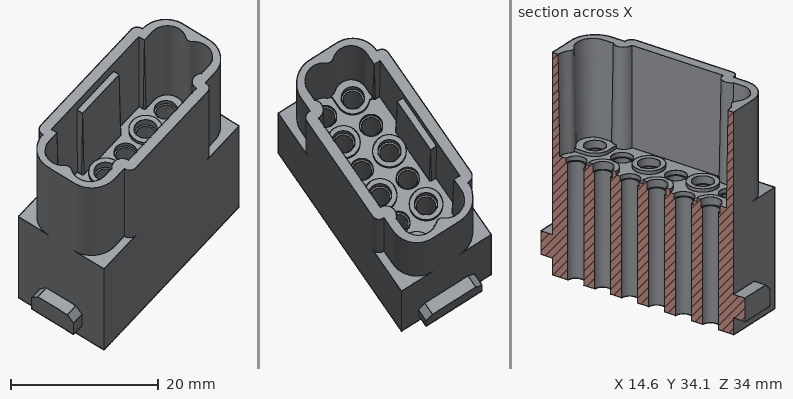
import cadquery as cq
import math


body_width = 14.6
body_length = 30.28
body_height = 18.55
overall_height = 34.0
shroud_height = overall_height - body_height

tab_reach = 1.9
tab_bottom = 2.55
tab_top = 6.2
tab_chamfer = 1.05
front_tab_width = 7.13
back_tab_width = 9.15

core_width = 12.28
core_corner_radius = 3.92
left_key_length = 22.37
right_key_length = 18.15
key_corner_radius = 1.05

draft_angle = 1.0
draft_slope = math.tan(math.radians(draft_angle))
cavity_half_width = 5.73
lobe_half_width = 4.77
lobe_radius = 2.55
lobe_center_x = lobe_half_width - lobe_radius
lobe_center_y = 11.6
left_step_y = 9.8
cusp_radius = 0.85
bump_radius = 1.4
bump_center_y = 9.0

rib_length = 8.2
rib_drop = 1.7

contact_columns = 2
contact_rows = 6
contact_pitch = 4.5
bore_diameter = 2.63
counterbore_diameter = 3.15
counterbore_depth = 0.68
pad_radius = 2.3
pad_height = 0.5


def grid_position(index, count):
    """Centered coordinate of one item in an evenly pitched line of contacts."""
    return (index - (count - 1) / 2) * contact_pitch


def latch_tab(width, outer_y):
    """Tab with two chamfered upper corners, reaching from outer_y along +Y to the body face."""
    return (
        cq.Workplane("XY")
        .box(width, tab_reach, tab_top - tab_bottom, centered=(True, False, False))
        .edges("|Y and >Z")
        .chamfer(tab_chamfer)
        .translate((0, outer_y, tab_bottom))
    )


def key_block(length, side):
    """Half-width block on one side (-1 left, +1 right) with rounded outer corners."""
    outer_edges = ">X" if side > 0 else "<X"
    half_width = body_width / 2
    return (
        cq.Workplane("XY")
        .box(half_width, length, shroud_height, centered=(True, True, False))
        .edges("|Z")
        .edges(outer_edges)
        .fillet(key_corner_radius)
        .translate((side * half_width / 2, 0, body_height))
    )


def shroud_outside():
    core = (
        cq.Workplane("XY", origin=(0, 0, body_height))
        .rect(core_width, body_length)
        .extrude(shroud_height)
        .edges("|Z")
        .fillet(core_corner_radius)
    )
    return core.union(key_block(left_key_length, -1)).union(key_block(right_key_length, 1))


def cavity_rib():
    """Wall rib that thickens downward with the draft of the cavity."""
    ledge_half_width = lobe_half_width - rib_drop * draft_slope
    ledge_z = overall_height - rib_drop
    rib_width = body_width / 2 - ledge_half_width
    return (
        cq.Workplane("XY", origin=(-ledge_half_width - rib_width / 2, 0, ledge_z))
        .rect(rib_width, rib_length)
        .extrude(-(shroud_height - rib_drop), taper=-draft_angle)
    )


def cavity():
    """Drafted cavity from the mouth down to the contact floor."""
    lobe_to_cusp = lobe_radius + cusp_radius
    cusp_rise = math.sqrt(lobe_to_cusp**2 - lobe_center_x**2)
    cusp_center_y = lobe_center_y + cusp_rise
    cusp_tip_y = cusp_center_y - cusp_radius
    tangent_x = lobe_center_x * cusp_radius / lobe_to_cusp
    tangent_y = cusp_center_y - cusp_rise * cusp_radius / lobe_to_cusp
    lobe_top_y = lobe_center_y + lobe_radius

    bump_inset = cavity_half_width - lobe_half_width
    bump_lobe_y = bump_center_y + math.sqrt(bump_radius**2 - bump_inset**2)
    bump_tip_x = cavity_half_width - bump_radius
    bump_end_y = bump_center_y - bump_radius

    mouth = (
        cq.Workplane("XY", origin=(0, 0, overall_height))
        .moveTo(-cavity_half_width, -left_step_y)
        .lineTo(-cavity_half_width, left_step_y)
        .lineTo(-lobe_half_width, left_step_y)
        .lineTo(-lobe_half_width, lobe_center_y)
        .threePointArc((-lobe_center_x, lobe_top_y), (-tangent_x, tangent_y))
        .threePointArc((0, cusp_tip_y), (tangent_x, tangent_y))
        .threePointArc((lobe_center_x, lobe_top_y), (lobe_half_width, lobe_center_y))
        .lineTo(lobe_half_width, bump_lobe_y)
        .threePointArc((bump_tip_x, bump_center_y), (cavity_half_width, bump_end_y))
        .lineTo(cavity_half_width, -bump_end_y)
        .threePointArc((bump_tip_x, -bump_center_y), (lobe_half_width, -bump_lobe_y))
        .lineTo(lobe_half_width, -lobe_center_y)
        .threePointArc((lobe_center_x, -lobe_top_y), (tangent_x, -tangent_y))
        .threePointArc((0, -cusp_tip_y), (-tangent_x, -tangent_y))
        .threePointArc((-lobe_center_x, -lobe_top_y), (-lobe_half_width, -lobe_center_y))
        .lineTo(-lobe_half_width, -left_step_y)
        .close()
    )
    return mouth.extrude(-shroud_height, taper=draft_angle).cut(cavity_rib())


def pad_fill(x_range, y_range):
    """Rectangular part of a corner pad, given by its X and Y limits."""
    return (
        cq.Workplane("XY")
        .box(x_range[1] - x_range[0], y_range[1] - y_range[0], pad_height, centered=False)
        .translate((x_range[0], y_range[0], body_height))
    )


def contact_pads():
    """Raised round pads on alternate contacts; the two at the cavity ends run into its walls."""
    pads = cq.Workplane("XY")
    for column in range(contact_columns):
        for row in range(contact_rows):
            if (column + row) % 2 == 0:
                x = grid_position(column, contact_columns)
                y = grid_position(row, contact_rows)
                pad = cq.Workplane("XY", origin=(x, y, body_height)).circle(pad_radius).extrude(pad_height)
                pads = pads.add(pad)
    x = grid_position(1, contact_columns)
    y = grid_position(contact_rows - 1, contact_rows)
    inner_x = x - pad_radius
    end_y = body_length / 2
    back_strip = pad_fill((inner_x, core_width / 2), (y, end_y))
    back_side = pad_fill((x, core_width / 2), (y - pad_radius, y))
    front_strip = pad_fill((-core_width / 2, -inner_x), (-end_y, -y))
    front_side = pad_fill((-core_width / 2, -x), (-y, -left_step_y))
    for fill in (back_strip, back_side, front_strip, front_side):
        pads = pads.add(fill)
    return pads.combine()


body = cq.Workplane("XY").box(body_width, body_length, body_height, centered=(True, True, False))
front_tab = latch_tab(front_tab_width, -body_length / 2 - tab_reach)
back_tab = latch_tab(back_tab_width, body_length / 2)
housing = body.union(shroud_outside()).union(front_tab).union(back_tab)
housing = housing.cut(cavity().cut(contact_pads()))

contact_points = [
    (grid_position(column, contact_columns), grid_position(row, contact_rows))
    for column in range(contact_columns)
    for row in range(contact_rows)
]
bores = cq.Workplane("XY").pushPoints(contact_points).circle(bore_diameter / 2).extrude(overall_height)
counterbores = (
    cq.Workplane("XY", origin=(0, 0, body_height - counterbore_depth))
    .pushPoints(contact_points)
    .circle(counterbore_diameter / 2)
    .extrude(shroud_height)
)
result = housing.cut(bores).cut(counterbores)